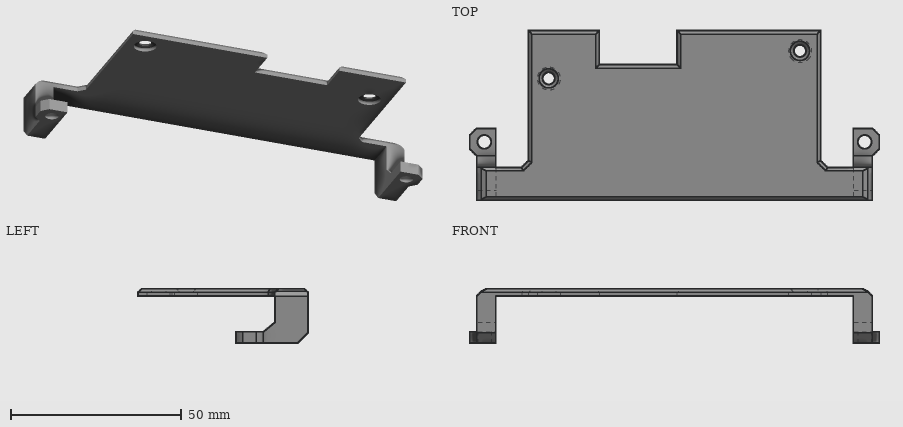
import cadquery as cq

half_length = 60.2
depth = 50.0
height = 16.0

plate_thickness = 2.2
plate_bottom = height - plate_thickness
body_half_width = 43.0
arm_depth = 9.8
edge_bevel = 1.1
inner_corner_cut = 1.9

notch_left = -22.0
notch_right = 0.7
notch_floor = 40.0

plate_holes = [(-37.0, 35.9), (36.8, 44.0)]
plate_hole_diameter = 3.5
countersink_diameter = 5.7
countersink_angle = 90
underside_relief_diameter = 6.7
underside_relief_depth = plate_thickness - (countersink_diameter - plate_hole_diameter) / 2

leg_outer = 58.2
leg_inner = 52.5
leg_heel_cut = 3.0
leg_brace_height = 6.1
shoulder_cut = 1.5
tab_thickness = 3.4
tab_front = 13.1
tab_corner_cut = half_length - leg_outer
tab_hole_diameter = 4.0
tab_hole_x = 55.9
tab_hole_y = 17.2
tab_rear = 21.2


def make_plate():
    """Plate with a wide front arm, a rear notch and a beveled top rim."""
    outline = [
        (-leg_outer, 0),
        (leg_outer, 0),
        (leg_outer, arm_depth),
        (body_half_width + inner_corner_cut, arm_depth),
        (body_half_width, arm_depth + inner_corner_cut),
        (body_half_width, depth),
        (notch_right, depth),
        (notch_right, notch_floor),
        (notch_left, notch_floor),
        (notch_left, depth),
        (-body_half_width, depth),
        (-body_half_width, arm_depth + inner_corner_cut),
        (-body_half_width - inner_corner_cut, arm_depth),
        (-leg_outer, arm_depth),
    ]
    plate = cq.Workplane("XY").workplane(offset=plate_bottom).polyline(outline).close()
    plate = plate.extrude(plate_thickness)
    return plate.faces(">Z").chamfer(edge_bevel)


def make_leg():
    """Right leg: an upright with a cut heel and a brace down to the tab."""
    side_profile = [
        (leg_heel_cut, 0),
        (tab_front, 0),
        (tab_front, tab_thickness),
        (arm_depth, leg_brace_height),
        (arm_depth, plate_bottom),
        (0, plate_bottom),
        (0, leg_heel_cut),
    ]
    leg = cq.Workplane("YZ").workplane(offset=leg_inner).polyline(side_profile).close()
    return leg.extrude(leg_outer - leg_inner)


def make_tab():
    """Right mounting tab with two clipped outer corners and a screw hole."""
    tab = cq.Workplane("XY").box(
        half_length - leg_inner, tab_rear - tab_front, tab_thickness, centered=False
    )
    tab = tab.translate((leg_inner, tab_front, 0))
    tab = tab.edges("|Z and >X").chamfer(tab_corner_cut)
    hole = cq.Workplane("XY").center(tab_hole_x, tab_hole_y).circle(tab_hole_diameter / 2)
    return tab.cut(hole.extrude(tab_thickness))


def make_shoulder_cutter():
    """Wedge that slopes the right end of the plate in two facets."""
    profile = [
        (leg_outer, plate_bottom),
        (leg_outer - shoulder_cut, plate_bottom + shoulder_cut),
        (leg_outer - 2 * shoulder_cut, height),
        (leg_outer, height),
    ]
    return cq.Workplane("XZ").polyline(profile).close().extrude(-arm_depth)


def on_both_ends(right_part):
    return right_part.union(right_part.mirror("YZ"))


plate = make_plate().cut(on_both_ends(make_shoulder_cutter()))
plate = plate.faces(">Z").workplane(origin=(0, 0, height)).pushPoints(plate_holes)
plate = plate.cskHole(plate_hole_diameter, countersink_diameter, countersink_angle)
relief = cq.Workplane("XY").workplane(offset=plate_bottom).pushPoints(plate_holes)
plate = plate.cut(relief.circle(underside_relief_diameter / 2).extrude(underside_relief_depth))

result = plate.union(on_both_ends(make_leg().union(make_tab())))